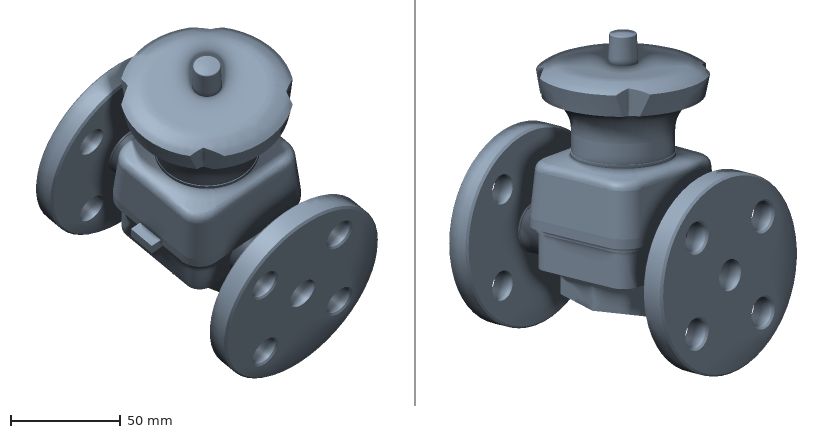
import cadquery as cq
import math


OVERALL_HEIGHT = 151.0
FLANGE_SPAN = 130.0
FLANGE_DIAMETER = 95.0
FLANGE_RADIUS = FLANGE_DIAMETER / 2
FLANGE_THICKNESS = 11.8
FLANGE_CHAMFER = 1.0
BOLT_OFFSET = 23.0
BOLT_HOLE_RADIUS = 7.1
BOLT_HOLE_CHAMFER = 0.9
HUB_RADIUS = 12.2
HUB_LENGTH = 1.0
PIPE_RADIUS = 12.0
BORE_RADIUS = 7.5

BLOCK_HALF_X = 28.5
BLOCK_HALF_Y = 31.1
BLOCK_CORNER_RADIUS = 7.9
BLOCK_BOTTOM_Z = -7.9
RIM_BOTTOM_Z = 9.8
RIM_OVERHANG = 1.0
BASE_BOTTOM_Z = -24.9
BASE_POINT_Y = 21.3
BASE_SIDE_Y = 10.7

BONNET_BOTTOM_Z = 12.2
LIP_HALF_X = 32.3
LIP_HALF_Y = 34.9
LIP_TOP_Z = 17.0
BONNET_CORNER_RADIUS = 11.2
WALL_TOP_Z = 42.5
WALL_LEAN = 2.0
EAVES_HALF_X = LIP_HALF_X - WALL_LEAN
EAVES_HALF_Y = LIP_HALF_Y - WALL_LEAN
EAVES_FILLET = 4.2
SELECTION_MARGIN = 0.2
ROOF_TOP_Z = 45.3
FRONT_HIP_ANGLE = 61.0
SIDE_HIP_ANGLE = 35.0
COLLAR_RADIUS = 24.3
COLLAR_TOP_Z = 47.0
TAB_WIDTH = 14.2
TAB_TOP_Z = 15.0
TAB_FRONT_Y = -40.5

NECK_RADIUS = 23.9
NECK_TOP_Z = 57.0
RIM_LOWER_Z = 74.0
FLARE_TOP_RADIUS = 36.1
RIM_LOWER_RADIUS = 37.9
RIM_UPPER_RADIUS = 40.0
RIM_UPPER_Z = 84.7
CROWN_RADIUS = 27.8
CROWN_Z = 89.1
NOTCH_COUNT = 4
NOTCH_APEX_ANGLE = 45.0
NOTCH_APEX_RADIUS = 36.3
NOTCH_LONG_SIDE = 14.3
NOTCH_SHORT_SIDE = 8.5

DISC_RADIUS = 16.2
DISC_THICKNESS = 4.5
STEM_BASE_RADIUS = 7.0
STEM_TIP_RADIUS = 6.3
STEM_SHOULDER_Z = 102.3
STEM_EDGE_RADIUS = 0.6
STEM_TOP_Z = OVERALL_HEIGHT - FLANGE_RADIUS


def polar(radius, angle):
    """Point at an angle in degrees from the X axis."""
    return (radius * math.cos(math.radians(angle)), radius * math.sin(math.radians(angle)))


def rounded_rectangle(half_x, half_y, radius):
    return cq.Sketch().rect(2 * half_x, 2 * half_y).vertices().fillet(radius)


def rounded_block(half_x, half_y, radius, bottom_z, top_z):
    """Upright prism on a rounded rectangle centred on the Z axis."""
    outline = rounded_rectangle(half_x, half_y, radius)
    return cq.Workplane("XY", origin=(0, 0, bottom_z)).placeSketch(outline).extrude(top_z - bottom_z)


def make_flange():
    """Flange at the -X end with chamfered rims, bolt holes and a low hub."""
    outer_x = -FLANGE_SPAN / 2
    flange = (
        cq.Workplane("YZ", origin=(outer_x, 0, 0))
        .circle(FLANGE_RADIUS)
        .extrude(FLANGE_THICKNESS)
        .edges()
        .chamfer(FLANGE_CHAMFER)
    )
    bolt_holes = (
        cq.Workplane("YZ", origin=(outer_x, 0, 0))
        .rect(2 * BOLT_OFFSET, 2 * BOLT_OFFSET, forConstruction=True)
        .vertices()
        .circle(BOLT_HOLE_RADIUS)
        .extrude(FLANGE_THICKNESS)
    )
    flange = flange.cut(bolt_holes)
    flange = flange.faces("<X").edges(cq.selectors.RadiusNthSelector(0)).chamfer(BOLT_HOLE_CHAMFER)
    hub = (
        cq.Workplane("YZ", origin=(outer_x + FLANGE_THICKNESS, 0, 0))
        .circle(HUB_RADIUS)
        .extrude(HUB_LENGTH)
    )
    return flange.union(hub)


def make_valve_body():
    block = rounded_block(
        BLOCK_HALF_X, BLOCK_HALF_Y, BLOCK_CORNER_RADIUS, BLOCK_BOTTOM_Z, BONNET_BOTTOM_Z
    )
    rim = rounded_block(
        BLOCK_HALF_X + RIM_OVERHANG,
        BLOCK_HALF_Y + RIM_OVERHANG,
        BLOCK_CORNER_RADIUS + RIM_OVERHANG,
        RIM_BOTTOM_Z,
        BONNET_BOTTOM_Z,
    )
    base = (
        cq.Workplane("XY", origin=(0, 0, BASE_BOTTOM_Z))
        .polyline([
            (0, -BASE_POINT_Y),
            (BLOCK_HALF_X, -BASE_SIDE_Y),
            (BLOCK_HALF_X, BASE_SIDE_Y),
            (0, BASE_POINT_Y),
            (-BLOCK_HALF_X, BASE_SIDE_Y),
            (-BLOCK_HALF_X, -BASE_SIDE_Y),
        ])
        .close()
        .extrude(BLOCK_BOTTOM_Z - BASE_BOTTOM_Z)
    )
    pipe_length = FLANGE_SPAN - 2 * FLANGE_THICKNESS
    pipe = cq.Workplane("YZ").circle(PIPE_RADIUS).extrude(pipe_length / 2, both=True)
    flange = make_flange()
    body = block.union(rim).union(base).union(pipe).union(flange).union(flange.mirror("YZ"))
    bore = cq.Workplane("YZ").circle(BORE_RADIUS).extrude(FLANGE_SPAN / 2, both=True)
    return body.cut(bore)


def make_bonnet_walls():
    """Leaning walls from the lip up to the eaves."""
    lip_outline = rounded_rectangle(LIP_HALF_X, LIP_HALF_Y, BONNET_CORNER_RADIUS)
    eaves_outline = rounded_rectangle(EAVES_HALF_X, EAVES_HALF_Y, BONNET_CORNER_RADIUS)
    rise = cq.Location(cq.Vector(0, 0, WALL_TOP_Z - LIP_TOP_Z))
    return (
        cq.Workplane("XY", origin=(0, 0, LIP_TOP_Z))
        .placeSketch(lip_outline, eaves_outline.moved(rise))
        .loft(ruled=True)
    )


def make_bonnet_roof():
    """Shallow roof from the rounded rectangle of the eaves to the circle of the collar."""
    diagonal = BONNET_CORNER_RADIUS * (1 - math.sqrt(0.5))
    straight_x = EAVES_HALF_X - BONNET_CORNER_RADIUS
    straight_y = EAVES_HALF_Y - BONNET_CORNER_RADIUS
    eaves = cq.Workplane("XY", origin=(0, 0, WALL_TOP_Z)).moveTo(EAVES_HALF_X, -straight_y)
    circle = cq.Workplane("XY", origin=(0, 0, ROOF_TOP_Z)).moveTo(*polar(COLLAR_RADIUS, -SIDE_HIP_ANGLE))

    eaves = (
        eaves.lineTo(EAVES_HALF_X, straight_y)
        .threePointArc((EAVES_HALF_X - diagonal, EAVES_HALF_Y - diagonal), (straight_x, EAVES_HALF_Y))
        .lineTo(-straight_x, EAVES_HALF_Y)
        .threePointArc((diagonal - EAVES_HALF_X, EAVES_HALF_Y - diagonal), (-EAVES_HALF_X, straight_y))
        .lineTo(-EAVES_HALF_X, -straight_y)
        .threePointArc((diagonal - EAVES_HALF_X, diagonal - EAVES_HALF_Y), (-straight_x, -EAVES_HALF_Y))
        .lineTo(straight_x, -EAVES_HALF_Y)
        .threePointArc((EAVES_HALF_X - diagonal, diagonal - EAVES_HALF_Y), (EAVES_HALF_X, -straight_y))
        .close()
    )
    hip_angles = [
        -SIDE_HIP_ANGLE,
        SIDE_HIP_ANGLE,
        FRONT_HIP_ANGLE,
        180 - FRONT_HIP_ANGLE,
        180 - SIDE_HIP_ANGLE,
        180 + SIDE_HIP_ANGLE,
        180 + FRONT_HIP_ANGLE,
        360 - FRONT_HIP_ANGLE,
        360 - SIDE_HIP_ANGLE,
    ]
    for start, end in zip(hip_angles, hip_angles[1:]):
        middle = (start + end) / 2
        circle = circle.threePointArc(polar(COLLAR_RADIUS, middle), polar(COLLAR_RADIUS, end))
    circle = circle.close()
    return cq.Workplane(cq.Solid.makeLoft([eaves.val(), circle.val()], True))


def make_bonnet():
    lip = rounded_block(LIP_HALF_X, LIP_HALF_Y, BONNET_CORNER_RADIUS, BONNET_BOTTOM_Z, LIP_TOP_Z)
    eaves_edges = cq.selectors.BoxSelector(
        (-LIP_HALF_X, -LIP_HALF_Y, WALL_TOP_Z - SELECTION_MARGIN),
        (LIP_HALF_X, LIP_HALF_Y, WALL_TOP_Z + SELECTION_MARGIN),
    )
    shell = make_bonnet_walls().union(make_bonnet_roof()).edges(eaves_edges).fillet(EAVES_FILLET)
    collar = (
        cq.Workplane("XY", origin=(0, 0, ROOF_TOP_Z))
        .circle(COLLAR_RADIUS)
        .extrude(COLLAR_TOP_Z - ROOF_TOP_Z)
    )
    return lip.union(shell).union(collar).union(make_tab())


def make_tab():
    """Block on the front of the lip that reaches down over the body rim."""
    back_y = -(BLOCK_HALF_Y + RIM_OVERHANG)
    return cq.Workplane("XY").box(
        TAB_WIDTH, back_y - TAB_FRONT_Y, TAB_TOP_Z - RIM_BOTTOM_Z, centered=(True, False, False)
    ).translate((0, TAB_FRONT_Y, RIM_BOTTOM_Z))


def make_notch_cutter():
    """Upright V-shaped prism that cuts one grip notch into the handwheel rim."""
    apex = polar(NOTCH_APEX_RADIUS, NOTCH_APEX_ANGLE)
    ends = []
    for turn in (-NOTCH_SHORT_SIDE, NOTCH_LONG_SIDE):
        on_rim = polar(RIM_UPPER_RADIUS, NOTCH_APEX_ANGLE + turn)
        ends.append((2 * on_rim[0] - apex[0], 2 * on_rim[1] - apex[1]))
    return (
        cq.Workplane("XY", origin=(0, 0, RIM_LOWER_Z))
        .polyline([apex, *ends])
        .close()
        .extrude(CROWN_Z - RIM_LOWER_Z)
    )


def crown_arc_middle():
    """Middle of the arc that is tangent to the flat top and ends on the rim edge."""
    run = RIM_UPPER_RADIUS - CROWN_RADIUS
    drop = CROWN_Z - RIM_UPPER_Z
    radius = (run**2 + drop**2) / (2 * drop)
    half_angle = math.asin(run / radius) / 2
    return (
        CROWN_RADIUS + radius * math.sin(half_angle),
        CROWN_Z - radius * (1 - math.cos(half_angle)),
    )


def make_handwheel():
    wheel = (
        cq.Workplane("XZ")
        .moveTo(0, COLLAR_TOP_Z)
        .lineTo(NECK_RADIUS, COLLAR_TOP_Z)
        .lineTo(NECK_RADIUS, NECK_TOP_Z)
        .tangentArcPoint((FLARE_TOP_RADIUS, RIM_LOWER_Z), relative=False)
        .lineTo(RIM_LOWER_RADIUS, RIM_LOWER_Z)
        .lineTo(RIM_UPPER_RADIUS, RIM_UPPER_Z)
        .threePointArc(crown_arc_middle(), (CROWN_RADIUS, CROWN_Z))
        .lineTo(0, CROWN_Z)
        .close()
        .revolve(360, (0, 0, 0), (0, 1, 0))
    )
    notch = make_notch_cutter()
    for index in range(NOTCH_COUNT):
        wheel = wheel.cut(notch.rotate((0, 0, 0), (0, 0, 1), index * 360 / NOTCH_COUNT))
    recess = (
        cq.Workplane("XY", origin=(0, 0, CROWN_Z - DISC_THICKNESS))
        .circle(DISC_RADIUS)
        .extrude(DISC_THICKNESS)
    )
    return wheel.cut(recess)


def make_indicator():
    """Disc flush with the handwheel top, carrying a slightly tapered stem with a domed tip."""
    tip_flat_radius = STEM_TIP_RADIUS - STEM_EDGE_RADIUS
    tip_edge_z = STEM_SHOULDER_Z + STEM_EDGE_RADIUS
    rise = STEM_TOP_Z - tip_edge_z
    dome_radius = (tip_flat_radius**2 + rise**2) / (2 * rise)
    half_angle = math.asin(tip_flat_radius / dome_radius) / 2
    dome_middle = (
        dome_radius * math.sin(half_angle),
        STEM_TOP_Z - dome_radius * (1 - math.cos(half_angle)),
    )
    return (
        cq.Workplane("XZ")
        .moveTo(0, CROWN_Z - DISC_THICKNESS)
        .lineTo(DISC_RADIUS, CROWN_Z - DISC_THICKNESS)
        .lineTo(DISC_RADIUS, CROWN_Z)
        .lineTo(STEM_BASE_RADIUS, CROWN_Z)
        .lineTo(STEM_TIP_RADIUS, STEM_SHOULDER_Z)
        .radiusArc((tip_flat_radius, tip_edge_z), -STEM_EDGE_RADIUS)
        .threePointArc(dome_middle, (0, STEM_TOP_Z))
        .close()
        .revolve(360, (0, 0, 0), (0, 1, 0))
    )


valve_body = make_valve_body()
bonnet = make_bonnet()
handwheel = make_handwheel()
indicator = make_indicator()

result = cq.Compound.makeCompound([
    valve_body.solids().val(),
    bonnet.solids().val(),
    handwheel.solids().val(),
    indicator.solids().val(),
])